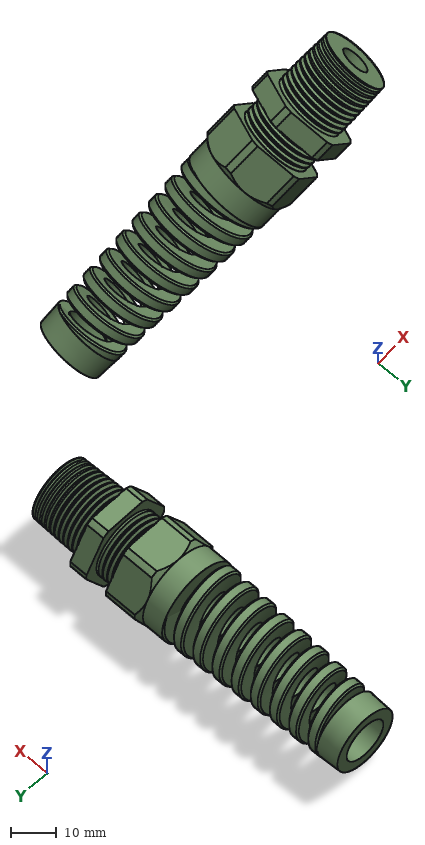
import cadquery as cq
import math


COLLAR_END = 6.0
CAP_START = 51.1
CAP_ROUND_END = 56.9
CAP_HEX_START = 58.25
CAP_END = 67.0
NUT_START = 72.9
NUT_END = 77.9
BODY_END = 92.96

HEX_ACROSS_FLATS = 22.1
HEX_CORNER_DIAMETER = 24.52
CAP_RADIUS = HEX_ACROSS_FLATS / 2
HEX_CORNER_RADIUS = HEX_CORNER_DIAMETER / 2

TAIL_TIP_RADIUS = 8.7
TAIL_BASE_RADIUS = 11.0
TAIL_SLOPE = (TAIL_BASE_RADIUS - TAIL_TIP_RADIUS) / CAP_START
COLLAR_BORE_RADIUS = 5.77
COIL_BORE_RADIUS = 5.5
COIL_PITCH = 5.6
COIL_BORE_CLEARANCE = 0.2
COIL_WIDTH = 3.0
COIL_CHAMFER = 0.45
COIL_START = 3.25
COIL_TURNS = 9

THREAD_PITCH = 1.4
CREST_WIDTH = 0.3
THREAD_DEPTH = 0.85
CAP_THREAD_RADIUS = 9.15
CAP_THREAD_FIRST_ROOT = 59.1
CAP_THREAD_GROOVES = 10
ENTRY_THREAD_RADIUS = 8.85
ENTRY_THREAD_FIRST_ROOT = 78.4
ENTRY_THREAD_GROOVES = 11
ENTRY_END_RADIUS = 8.55
ENTRY_TAPER = 1 / 32
BODY_BORE_RADIUS = 3.6
SPIGOT_START = CAP_HEX_START


def turned(points):
    """Solid of revolution about X from (x, radius) points."""
    return cq.Workplane("XY").polyline(points).close().revolve(360, (0, 0, 0), (1, 0, 0))


def rod(start, end, radius):
    """Round rod along X."""
    return cq.Workplane("YZ", origin=(start, 0, 0)).circle(radius).extrude(end - start)


def hex_bar(start, end):
    """Hexagonal bar along X with flats facing +Z and -Z and rounded corners."""
    sharp_diameter = HEX_ACROSS_FLATS / math.cos(math.pi / 6)
    bar = cq.Workplane("YZ", origin=(start, 0, 0)).polygon(6, sharp_diameter).extrude(end - start)
    return bar.intersect(rod(start, end, HEX_CORNER_RADIUS))


def tail_radius(x):
    """Outer radius of the conical tail."""
    return TAIL_TIP_RADIUS + TAIL_SLOPE * x


def make_collar():
    return turned([
        (0, COLLAR_BORE_RADIUS),
        (0, tail_radius(0)),
        (COLLAR_END, tail_radius(COLLAR_END)),
        (COLLAR_END, COLLAR_BORE_RADIUS),
    ])


def make_coil():
    """Right-handed band on the tail cone, trimmed to the bore and to the length between its ends."""
    start_radius = tail_radius(COIL_START)
    length = COIL_TURNS * COIL_PITCH
    taper_angle = math.degrees(math.atan(TAIL_SLOPE))
    helix = cq.Wire.makeHelix(COIL_PITCH, length, start_radius, angle=taper_angle)

    inner_radius = COIL_BORE_RADIUS - TAIL_SLOPE * length - COIL_BORE_CLEARANCE
    half_width = COIL_WIDTH / 2
    half_flat = half_width - COIL_CHAMFER
    section = cq.Workplane("XZ").polyline([
        (inner_radius, -half_width),
        (start_radius - COIL_CHAMFER, -half_width),
        (start_radius, -half_flat),
        (start_radius, half_flat),
        (start_radius - COIL_CHAMFER, half_width),
        (inner_radius, half_width),
    ]).close()
    band = section.sweep(cq.Workplane(helix), isFrenet=True)

    band = band.rotate((0, 0, 0), (0, 1, 0), 90)
    band = band.rotate((0, 0, 0), (1, 0, 0), 180)
    band = band.translate((COIL_START, 0, 0))
    band = band.intersect(rod(COLLAR_END, CAP_START, HEX_CORNER_RADIUS))
    return band.cut(rod(COLLAR_END, CAP_START, COIL_BORE_RADIUS))


def make_cap_shell():
    """Round dome and hexagon, joined by a cone that cuts back the hexagon corners."""
    envelope = turned([
        (CAP_ROUND_END, 0),
        (CAP_ROUND_END, CAP_RADIUS),
        (CAP_HEX_START, HEX_CORNER_RADIUS),
        (CAP_END, HEX_CORNER_RADIUS),
        (CAP_END, 0),
    ])
    shell = hex_bar(CAP_ROUND_END, CAP_END).intersect(envelope)
    shell = shell.union(rod(CAP_START, CAP_ROUND_END, CAP_RADIUS))
    return shell.cut(rod(CAP_START, CAP_END, COIL_BORE_RADIUS))


def cut_thread(blank, first_root, groove_count, radius):
    """Cut a row of V grooves whose width at the given radius leaves the crest width between them."""
    half_groove = (THREAD_PITCH - CREST_WIDTH) / 2
    for index in range(groove_count):
        root = first_root + index * THREAD_PITCH
        groove = turned([
            (root, radius - THREAD_DEPTH),
            (root - 2 * half_groove, radius + THREAD_DEPTH),
            (root + 2 * half_groove, radius + THREAD_DEPTH),
        ])
        blank = blank.cut(groove)
    return blank


def make_body():
    """Spigot thread, hexagon nut and tapered entry thread around one through bore."""
    spigot = rod(SPIGOT_START, NUT_START, CAP_THREAD_RADIUS)
    spigot = cut_thread(spigot, CAP_THREAD_FIRST_ROOT, CAP_THREAD_GROOVES, CAP_THREAD_RADIUS)

    entry = rod(NUT_END, BODY_END, ENTRY_THREAD_RADIUS)
    entry = cut_thread(entry, ENTRY_THREAD_FIRST_ROOT, ENTRY_THREAD_GROOVES, ENTRY_THREAD_RADIUS)
    taper = turned([
        (NUT_END, 0),
        (NUT_END, ENTRY_END_RADIUS + ENTRY_TAPER * (BODY_END - NUT_END)),
        (BODY_END, ENTRY_END_RADIUS),
        (BODY_END, 0),
    ])
    entry = entry.intersect(taper)

    solid = hex_bar(NUT_START, NUT_END).union(spigot).union(entry)
    return solid.cut(rod(SPIGOT_START, BODY_END, BODY_BORE_RADIUS))


threaded_body = make_body()
spigot_envelope = threaded_body.union(rod(SPIGOT_START, CAP_END, BODY_BORE_RADIUS))
spring_cap = make_collar().union(make_coil()).union(make_cap_shell()).cut(spigot_envelope)

result = cq.Compound.makeCompound([spring_cap.val(), threaded_body.val()])